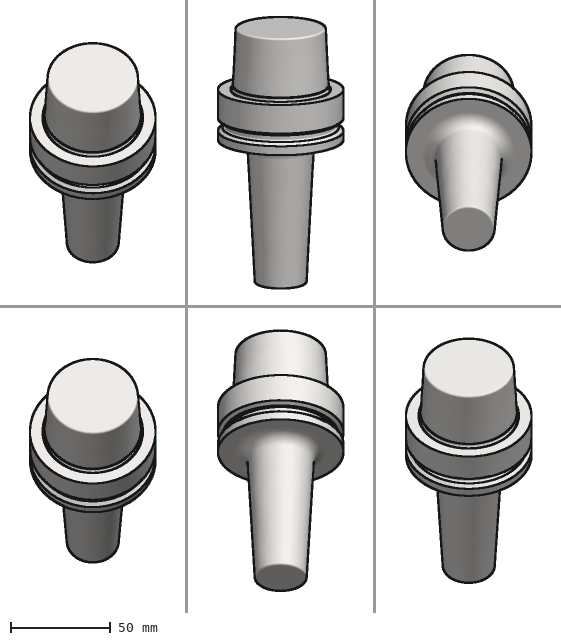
import cadquery as cq
import math

total_height = 131.9
flange_top = 100.0
flange_bottom = 74.0
shank_top = 67.0
taper_bottom = 102.0

flange_radius = 31.5
groove_floor_radius = 27.6
groove_top = 85.2
groove_mouth_radius = 29.1
groove_floor_top = 83.6
groove_floor_bottom = 80.2
groove_bottom = 78.6
groove_corner_radius = 0.8

taper_base_radius = 24.1
taper_top_radius = 22.7
taper_edge_radius = 1.0

relief_neck_radius = 23.5
relief_neck_top = 101.4
relief_floor = 99.3
relief_corner_radius = 1.2
relief_floor_radius = relief_neck_radius + relief_corner_radius
relief_neck_bottom = relief_floor + relief_corner_radius
relief_rim_radius = 25.2

shank_half_angle = math.radians(3)
shank_tip_radius = 13.0
shank_edge_radius = 1.0
shank_top_radius = shank_tip_radius + shank_top * math.tan(shank_half_angle)

fillet_radius = (flange_bottom - shank_top) / (1 + math.sin(shank_half_angle))
fillet_center_radius = shank_top_radius + fillet_radius * math.cos(shank_half_angle)
fillet_center_z = flange_bottom - fillet_radius
fillet_mid_angle = (math.pi / 2 + math.pi + shank_half_angle) / 2
fillet_mid = (
    fillet_center_radius + fillet_radius * math.cos(fillet_mid_angle),
    fillet_center_z + fillet_radius * math.sin(fillet_mid_angle),
)


def revolve_profile(profile):
    """Spin a closed radius-height profile around the Z axis."""
    return profile.close().revolve(360, (0, 0, 0), (0, 1, 0))


def make_shank_and_flange():
    profile = (
        cq.Workplane("XZ")
        .lineTo(shank_tip_radius, 0)
        .lineTo(shank_top_radius, shank_top)
        .threePointArc(fillet_mid, (fillet_center_radius, flange_bottom))
        .lineTo(flange_radius, flange_bottom)
        .lineTo(flange_radius, groove_bottom)
        .lineTo(groove_mouth_radius, groove_floor_bottom)
        .lineTo(groove_floor_radius + groove_corner_radius, groove_floor_bottom)
        .radiusArc((groove_floor_radius, groove_floor_bottom + groove_corner_radius), groove_corner_radius)
        .lineTo(groove_floor_radius, groove_floor_top)
        .lineTo(groove_mouth_radius, groove_floor_top)
        .lineTo(flange_radius, groove_top)
        .lineTo(flange_radius, flange_top)
        .lineTo(relief_rim_radius, flange_top)
        .lineTo(relief_floor_radius, relief_floor)
        .lineTo(0, relief_floor)
    )
    body = revolve_profile(profile)
    return body.faces("<Z").edges().fillet(shank_edge_radius)


def make_taper():
    profile = (
        cq.Workplane("XZ")
        .moveTo(0, relief_floor)
        .lineTo(relief_floor_radius, relief_floor)
        .radiusArc((relief_neck_radius, relief_neck_bottom), relief_corner_radius)
        .lineTo(relief_neck_radius, relief_neck_top)
        .lineTo(taper_base_radius, taper_bottom)
        .lineTo(taper_top_radius, total_height)
        .lineTo(0, total_height)
    )
    return revolve_profile(profile).faces(">Z").edges().fillet(taper_edge_radius)


result = make_shank_and_flange().union(make_taper())